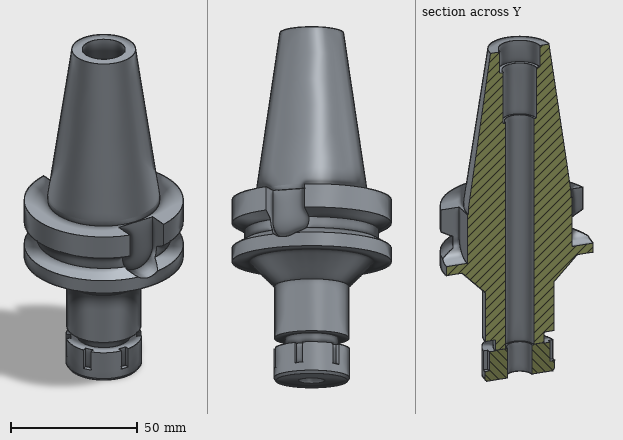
import cadquery as cq
import math

total_height = 140.4

nut_height = 12.6
nut_radius = 15.0
nut_chamfer_height = 1.1
nut_chamfer_width = 0.8
nut_bore_radius = 5.2
wrench_slot_count = 6
wrench_slot_width = 3.2
wrench_slot_height = 8.1
wrench_slot_floor_radius = 13.0

neck_radius = 10.5
neck_top = 17.1
nose_radius = 14.7
nose_top = 38.0
flange_bottom = 48.0
nose_cone_radius = nose_radius + flange_bottom - nose_top

flange_diameter = 63.0
flange_radius = flange_diameter / 2
groove_radius = 26.5
lower_lip_height = 5.5
groove_floor_height = 4.4
upper_lip_height = 9.4
groove_side_angle = 30.0
groove_side_height = (flange_radius - groove_radius) * math.tan(math.radians(groove_side_angle))
groove_bottom = flange_bottom + lower_lip_height
groove_floor_bottom = groove_bottom + groove_side_height
groove_floor_top = groove_floor_bottom + groove_floor_height
groove_top = groove_floor_top + groove_side_height
flange_top = groove_top + upper_lip_height

collar_height = 2.0
taper_large_radius = 22.2
taper_bottom = flange_top + collar_height
taper_rate = 7 / 24
taper_small_radius = taper_large_radius - (total_height - taper_bottom) * taper_rate / 2

drive_slot_width = 16.1
drive_slot_depth = 20.9
drive_slot_floor = 22.6

mouth_diameter = 17.0
mouth_radius = mouth_diameter / 2
mouth_depth = 9.1
thread_radius = 7.0
thread_depth = 30.9
passage_radius = 6.0


def cylinder(radius, bottom, top):
    return cq.Workplane("XY").workplane(offset=bottom).circle(radius).extrude(top - bottom)


def drive_slot():
    """Cutter for the +X drive slot: open at the top, with a half-round lower end."""
    half_width = drive_slot_width / 2
    arc_bottom = flange_top - drive_slot_depth
    arc_ends = arc_bottom + half_width
    return (
        cq.Workplane("YZ", origin=(drive_slot_floor, 0, 0))
        .moveTo(-half_width, flange_top)
        .lineTo(-half_width, arc_ends)
        .threePointArc((0, arc_bottom), (half_width, arc_ends))
        .lineTo(half_width, flange_top)
        .close()
        .extrude(flange_radius)
    )


def make_holder():
    profile = [
        (0, nut_height),
        (neck_radius, nut_height),
        (neck_radius, neck_top),
        (nose_radius, neck_top),
        (nose_radius, nose_top),
        (nose_cone_radius, flange_bottom),
        (flange_radius, flange_bottom),
        (flange_radius, groove_bottom),
        (groove_radius, groove_floor_bottom),
        (groove_radius, groove_floor_top),
        (flange_radius, groove_top),
        (flange_radius, flange_top),
        (taper_large_radius, flange_top),
        (taper_large_radius, taper_bottom),
        (taper_small_radius, total_height),
        (0, total_height),
    ]
    holder = cq.Workplane("XZ").polyline(profile).close().revolve(360, (0, 0), (0, 1))

    holder = holder.cut(cylinder(passage_radius, nut_height, total_height))
    holder = holder.cut(cylinder(thread_radius, total_height - thread_depth, total_height))
    holder = holder.cut(cylinder(mouth_radius, total_height - mouth_depth, total_height))

    for angle in (0, 180):
        holder = holder.cut(drive_slot().rotate((0, 0, 0), (0, 0, 1), angle))
    return holder


def wrench_slot():
    """Cutter for the +X wrench slot, open at the top and outside of the nut."""
    return (
        cq.Workplane("XY", origin=(wrench_slot_floor_radius, 0, nut_height - wrench_slot_height))
        .box(nut_radius, wrench_slot_width, wrench_slot_height, centered=(False, True, False))
    )


def make_nut():
    profile = [
        (nut_bore_radius, 0),
        (nut_radius - nut_chamfer_width, 0),
        (nut_radius, nut_chamfer_height),
        (nut_radius, nut_height),
        (nut_bore_radius, nut_height),
    ]
    nut = cq.Workplane("XZ").polyline(profile).close().revolve(360, (0, 0), (0, 1))
    for index in range(wrench_slot_count):
        angle = index * 360 / wrench_slot_count
        nut = nut.cut(wrench_slot().rotate((0, 0, 0), (0, 0, 1), angle))
    return nut


holder = make_holder()
nut = make_nut()
result = cq.Compound.makeCompound([holder.val(), nut.val()])